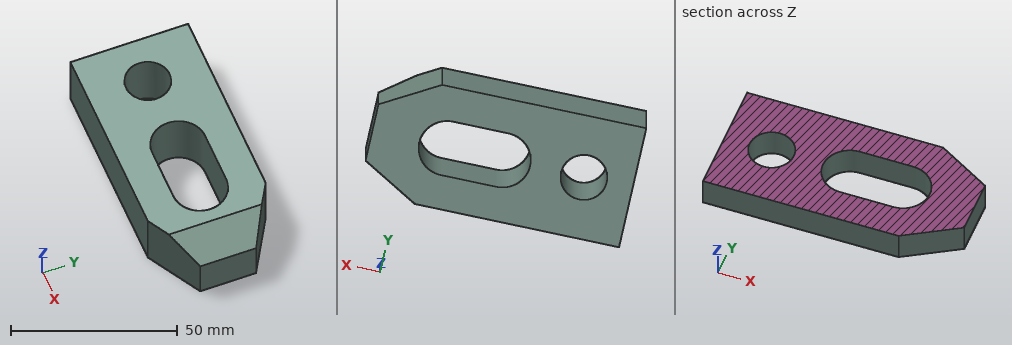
import cadquery as cq
import math

LENGTH = 80.0
WIDTH = 38.0
HEIGHT = 19.0

TAPER_ANGLE = math.radians(30)
NOSE_WIDTH = 18.0
NOSE_HEIGHT = 13.0
SIDE_TAPER_LENGTH = (WIDTH - NOSE_WIDTH) / 2 / math.tan(TAPER_ANGLE)
TOP_TAPER_LENGTH = (HEIGHT - NOSE_HEIGHT) / math.tan(TAPER_ANGLE)

HOLE_DIAMETER = 14.0
HOLE_X = 15.0

SLOT_WIDTH = 17.0
SLOT_LENGTH = 34.0
SLOT_START_X = 31.5
SLOT_CENTER_X = SLOT_START_X + SLOT_LENGTH / 2


def clamp_body():
    """Plate whose sides taper in toward the nose, centred on the X axis."""
    taper_start = LENGTH - SIDE_TAPER_LENGTH
    outline = [
        (0, -WIDTH / 2),
        (taper_start, -WIDTH / 2),
        (LENGTH, -NOSE_WIDTH / 2),
        (LENGTH, NOSE_WIDTH / 2),
        (taper_start, WIDTH / 2),
        (0, WIDTH / 2),
    ]
    return cq.Workplane("XY").polyline(outline).close().extrude(HEIGHT)


def nose_top_cut():
    """Wedge that slopes the top face down to the nose."""
    wedge = [
        (LENGTH - TOP_TAPER_LENGTH, HEIGHT),
        (LENGTH, HEIGHT),
        (LENGTH, NOSE_HEIGHT),
    ]
    return cq.Workplane("XZ").polyline(wedge).close().extrude(WIDTH / 2, both=True)


def round_hole():
    """Through hole on the centre line."""
    return cq.Workplane("XY").center(HOLE_X, 0).circle(HOLE_DIAMETER / 2).extrude(HEIGHT)


def clamping_slot():
    """Round-ended through slot along the centre line."""
    return cq.Workplane("XY").center(SLOT_CENTER_X, 0).slot2D(SLOT_LENGTH, SLOT_WIDTH).extrude(HEIGHT)


result = clamp_body().cut(nose_top_cut()).cut(round_hole()).cut(clamping_slot())